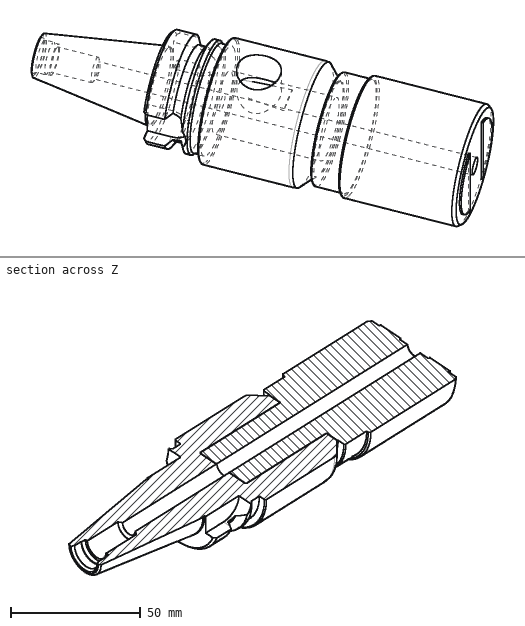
import cadquery as cq
import math

total_length = 178.6
coolant_diameter = 7.0
body_diameter = 50.7
housing_end = 118.5
shank_diameter = 25.4
shank_start = 75.0
clamp_hole_x = 90.0

taper_slope = 7 / 24 / 2
taper_length = 49.0
taper_large_radius = 32.0 / 2
taper_small_radius = taper_large_radius - taper_length * taper_slope
taper_chamfer_length = 0.5
taper_chamfer_height = 0.9
relief_radius = 31.5 / 2

flange_start = 49.8
flange_radius = 46.0 / 2
flange_chamfer = 1.0
v_floor_radius = 19.3
v_wall_length = (flange_radius - v_floor_radius) * math.tan(math.radians(30))
v_floor_start = 60.7
v_floor_end = 64.1
rear_rim_end = 68.2
rear_rim_chamfer = 0.9
collar_radius = 44.0 / 2
collar_end = 73.2

body_radius = body_diameter / 2
body_chamfer = 0.5
nose_cone_start = 112.0
nose_cone_end = 117.9
nose_blend_start = 110.4
nose_end_radius = 19.1
nose_blend_drop = 0.2
clamp_hole_diameter = 17.3

slot_width = 16.5
slot_floor_y = 16.3
slot_end = 67.7

drawbar_mouth_diameter = 14.5
drawbar_relief_diameter = 13.0
drawbar_cone_depth = 1.3
drawbar_relief_depth = 4.8
drawbar_pilot_diameter = 12.5
drawbar_pilot_depth = 6.8
drawbar_thread_diameter = 10.2
drawbar_thread_depth = 23.2
drill_point_angle = 118.0

front_ring_radius = 45.7 / 2
front_ring_chamfer = 0.5
sleeve_start = 130.2
sleeve_radius = 49.0 / 2
sleeve_front_chamfer = 0.7
lug_height = 0.7
end_face = total_length - lug_height
end_chamfer_length = 1.5
end_chamfer_height = 1.0
lug_diameter = 38.5
lug_gap = 16.0
flat_tilt = 2.0
flat_depth = 0.8
flat_end = 101.8


def revolve_about_x(profile):
    """Solid of revolution from (x, radius) points."""
    return cq.Workplane("XY").polyline(profile).close().revolve(360, (0, 0), (1, 0))


def cylinder_along_x(start, end, diameter):
    return cq.Workplane("YZ").workplane(offset=start).circle(diameter / 2).extrude(end - start)


def housing_blank():
    return revolve_about_x([
        (0, 0),
        (0, taper_small_radius - taper_chamfer_height),
        (taper_chamfer_length, taper_small_radius + taper_chamfer_length * taper_slope),
        (taper_length, taper_large_radius),
        (taper_length, relief_radius),
        (flange_start, relief_radius),
        (flange_start, flange_radius - flange_chamfer),
        (flange_start + flange_chamfer, flange_radius),
        (v_floor_start - v_wall_length, flange_radius),
        (v_floor_start, v_floor_radius),
        (v_floor_end, v_floor_radius),
        (v_floor_end + v_wall_length, flange_radius),
        (rear_rim_end, flange_radius),
        (rear_rim_end + rear_rim_chamfer, collar_radius),
        (collar_end, collar_radius),
        (collar_end, body_radius - body_chamfer),
        (collar_end + body_chamfer, body_radius),
        (nose_blend_start, body_radius),
        (nose_cone_start, body_radius - nose_blend_drop),
        (nose_cone_end, nose_end_radius),
        (housing_end, nose_end_radius),
        (housing_end, 0),
    ])


def drive_slot(side):
    """Cutter for one round-ended slot; side is -1 or +1 along Y."""
    straight_end = slot_end - slot_width / 2
    depth = body_radius - slot_floor_y
    outline = (
        cq.Workplane("XZ", origin=(0, side * slot_floor_y, 0))
        .moveTo(taper_length, -slot_width / 2)
        .lineTo(straight_end, -slot_width / 2)
        .threePointArc((slot_end, 0), (straight_end, slot_width / 2))
        .lineTo(taper_length, slot_width / 2)
        .close()
    )
    return outline.extrude(-side * depth)


def drawbar_bore():
    """Cutter for the stepped bore that opens at the small end."""
    half_angle = math.radians(drill_point_angle / 2)
    drill_point_length = drawbar_thread_diameter / 2 / math.tan(half_angle)
    return revolve_about_x([
        (0, 0),
        (0, drawbar_mouth_diameter / 2),
        (drawbar_cone_depth, drawbar_relief_diameter / 2),
        (drawbar_relief_depth, drawbar_relief_diameter / 2),
        (drawbar_relief_depth, drawbar_pilot_diameter / 2),
        (drawbar_pilot_depth, drawbar_pilot_diameter / 2),
        (drawbar_pilot_depth, drawbar_thread_diameter / 2),
        (drawbar_thread_depth, drawbar_thread_diameter / 2),
        (drawbar_thread_depth + drill_point_length, 0),
    ])


def clamp_hole():
    """Cutter for the clamp screw hole, from the shank bore up through the top."""
    return (
        cq.Workplane("XY", origin=(clamp_hole_x, 0, 0))
        .circle(clamp_hole_diameter / 2)
        .extrude(body_diameter)
    )


def make_housing():
    housing = housing_blank()
    for side in (-1, 1):
        housing = housing.cut(drive_slot(side))
    housing = housing.cut(drawbar_bore())
    housing = housing.cut(cylinder_along_x(0, housing_end, coolant_diameter))
    housing = housing.cut(cylinder_along_x(shank_start, housing_end, shank_diameter))
    return housing.cut(clamp_hole())


def clamp_flat():
    """Cutter for the tilted flat on top of the shank."""
    def height_at(x):
        return shank_diameter / 2 - flat_depth - (x - clamp_hole_x) * math.tan(math.radians(flat_tilt))

    return (
        cq.Workplane("XZ")
        .polyline([
            (shank_start, height_at(shank_start)),
            (flat_end, height_at(flat_end)),
            (flat_end, shank_diameter),
            (shank_start, shank_diameter),
        ])
        .close()
        .extrude(shank_diameter / 2, both=True)
    )


def end_lugs():
    """Two round-backed lugs on the end face, split by a vertical gap."""
    disc = cylinder_along_x(end_face, total_length, lug_diameter)
    gap = cq.Workplane("XY").box(lug_height, lug_gap, lug_diameter)
    return disc.cut(gap.translate((end_face + lug_height / 2, 0, 0)))


def make_chuck():
    chuck = revolve_about_x([
        (shank_start, 0),
        (shank_start, shank_diameter / 2),
        (housing_end, shank_diameter / 2),
        (housing_end, front_ring_radius - front_ring_chamfer),
        (housing_end + front_ring_chamfer, front_ring_radius),
        (sleeve_start, front_ring_radius),
        (sleeve_start, sleeve_radius - sleeve_front_chamfer),
        (sleeve_start + sleeve_front_chamfer, sleeve_radius),
        (end_face - end_chamfer_length, sleeve_radius),
        (end_face, sleeve_radius - end_chamfer_height),
        (end_face, 0),
    ])
    chuck = chuck.cut(clamp_flat())
    chuck = chuck.union(end_lugs())
    return chuck.cut(cylinder_along_x(shank_start, total_length, coolant_diameter))


housing = make_housing()
chuck = make_chuck()

result = cq.Compound.makeCompound([housing.val(), chuck.val()])